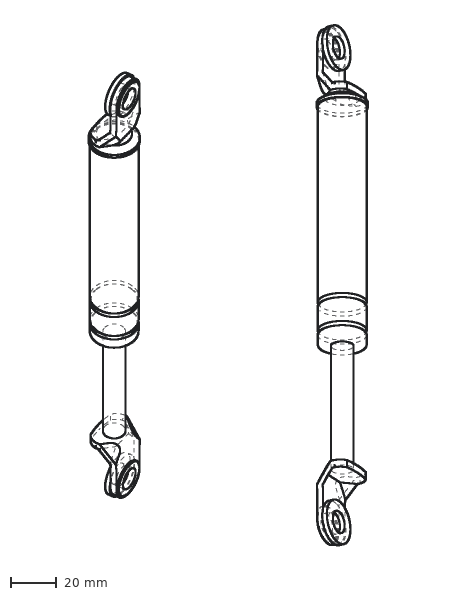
import cadquery as cq
import math

EYE_SPACING = 225.0
EYE_Z = EYE_SPACING / 2

PLATE = 3.0
WALL_X = 4.2
WALL_OUT_X = WALL_X + PLATE
FOOT_OUT_Z = 88.0
FOOT_T = 3.4
FOOT_IN_Z = FOOT_OUT_Z + FOOT_T
FOOT_END_X = -8.0
FOOT_END_BOW = 0.8
FOOT_HALF = 10.95
FOOT_CORNER_R = 7.0
FOOT_SIDE_X = -1.5
HEAD_R = 9.25
FLARE_TOP_Z = 100.0
FLARE_LOW_Z = 93.0
BEND_R = 5.0
GUSSET_Y = 5.1
GUSSET_RISE = 0.7
GUSSET_T = 2.2
SIDE_TAPER = 0.075

BORE_D = 10.0
WASHER_D = 20.0
WASHER_T = 2.4
BOSS_D = 17.0
BOSS_T = 0.7
BOSS_CHAMFER = 0.3

TUBE_R = 10.75
TUBE_LOW_Z = -29.4
TUBE_EDGE_R = 0.7
RIM_R = 11.25
RIM_LOW_Z = 84.0
RIM_TOP_Z = 85.7
CROWN_TOP_R = 7.8
GROOVE_ZS = (-9.8, -23.1)
GROOVE_HALF = 1.0
GROOVE_DEPTH = 0.7
ROD_D = 10.0

FAR = 60.0


def half_space(point, normal):
    """Block filling everything beyond the plane through a point, on the side its normal points to."""
    across = cq.Vector(*normal).cross(cq.Vector(0, 0, 1))
    plane = cq.Plane(origin=point, xDir=across.toTuple(), normal=normal)
    return cq.Workplane(plane).rect(4 * FAR, 4 * FAR).extrude(FAR)


def fold_space(wall_x, foot_z, gusset_offset):
    """Space above a foot plane and inside a wall plane, with both fold corners cut by gusset planes."""
    space = cq.Workplane("XY").box(FAR, FAR, FAR, centered=(False, True, False))
    space = space.translate((wall_x - FAR, 0, foot_z))
    for side in (1, -1):
        normal = cq.Vector(1, side, -GUSSET_RISE).normalized()
        start = cq.Vector(WALL_X, side * GUSSET_Y, FOOT_IN_Z) + normal * gusset_offset
        space = space.cut(half_space(start.toTuple(), normal.toTuple()))
    return space


def make_bracket():
    """Upper bracket: foot on the strut, upright carrying the eye."""
    outer = fold_space(WALL_OUT_X, FOOT_OUT_Z, GUSSET_T)
    outer = outer.edges(cq.selectors.NearestToPointSelector((WALL_OUT_X, 0, FOOT_OUT_Z))).fillet(BEND_R)
    plate = outer.cut(fold_space(WALL_X, FOOT_IN_Z, 0))

    corner_x = FOOT_END_X + FOOT_END_BOW
    corner_y = FOOT_HALF - FOOT_CORNER_R + math.sqrt(FOOT_CORNER_R**2 - (FOOT_SIDE_X - corner_x) ** 2)
    plan = (
        cq.Workplane("XY", origin=(0, 0, FOOT_OUT_Z))
        .moveTo(WALL_OUT_X, -FOOT_HALF)
        .lineTo(WALL_OUT_X, FOOT_HALF)
        .lineTo(FOOT_SIDE_X, FOOT_HALF)
        .tangentArcPoint((corner_x, corner_y), relative=False)
        .threePointArc((FOOT_END_X, 0), (corner_x, -corner_y))
        .radiusArc((FOOT_SIDE_X, -FOOT_HALF), -FOOT_CORNER_R)
        .close()
        .extrude(FAR)
    )
    elevation = (
        cq.Workplane("YZ", origin=(-FAR / 2, 0, 0))
        .moveTo(-FOOT_HALF, FOOT_OUT_Z)
        .lineTo(FOOT_HALF, FOOT_OUT_Z)
        .lineTo(FOOT_HALF, FLARE_LOW_Z)
        .lineTo(HEAD_R, FLARE_TOP_Z)
        .lineTo(HEAD_R, EYE_Z)
        .threePointArc((0, EYE_Z + HEAD_R), (-HEAD_R, EYE_Z))
        .lineTo(-HEAD_R, FLARE_TOP_Z)
        .lineTo(-FOOT_HALF, FLARE_LOW_Z)
        .close()
        .extrude(FAR)
    )
    bracket = plate.intersect(plan).intersect(elevation)
    below_head = cq.Workplane("XY", origin=(0, 0, FLARE_TOP_Z)).rect(FAR, FAR).extrude(-FAR)
    for side in (1, -1):
        outside = half_space((FOOT_SIDE_X, side * FOOT_HALF, FOOT_OUT_Z), (SIDE_TAPER, side, SIDE_TAPER))
        bracket = bracket.cut(outside.intersect(below_head))
    boss = (
        cq.Workplane("YZ", origin=(WALL_X, 0, EYE_Z))
        .circle(BOSS_D / 2)
        .extrude(PLATE + BOSS_T)
        .faces(">X").edges().chamfer(BOSS_CHAMFER)
    )
    eye = cq.Workplane("YZ", origin=(0, 0, EYE_Z)).circle(BORE_D / 2).extrude(FAR)
    return bracket.union(boss).cut(eye)


def make_washer():
    """Upper washer, lying against the upright around the eye."""
    base = cq.Workplane("YZ", origin=(WALL_X - WASHER_T, 0, EYE_Z))
    return base.circle(WASHER_D / 2).circle(BORE_D / 2).extrude(WASHER_T)


def make_tube():
    """Cylinder with a crimped crown on top and two rolled grooves near the rod end."""
    profile = (
        cq.Workplane("XZ")
        .moveTo(0, TUBE_LOW_Z)
        .lineTo(TUBE_R, TUBE_LOW_Z)
        .lineTo(TUBE_R, RIM_LOW_Z)
        .lineTo(RIM_R, RIM_LOW_Z)
        .lineTo(RIM_R, RIM_TOP_Z)
        .lineTo(CROWN_TOP_R, FOOT_OUT_Z)
        .lineTo(0, FOOT_OUT_Z)
        .close()
    )
    tube = profile.revolve(360, (0, 0, 0), (0, 1, 0)).faces("<Z").edges().fillet(TUBE_EDGE_R)
    for groove_z in GROOVE_ZS:
        groove = (
            cq.Workplane("XZ")
            .moveTo(TUBE_R, groove_z - GROOVE_HALF)
            .threePointArc((TUBE_R - GROOVE_DEPTH, groove_z), (TUBE_R, groove_z + GROOVE_HALF))
            .close()
            .revolve(360, (0, 0, 0), (0, 1, 0))
        )
        tube = tube.cut(groove)
    return tube


def make_rod():
    """Piston rod between the cylinder and the lower bracket."""
    length = TUBE_LOW_Z + FOOT_OUT_Z
    return cq.Workplane("XY", origin=(0, 0, -FOOT_OUT_Z)).circle(ROD_D / 2).extrude(length)


tube = make_tube()
rod = make_rod()

end_fittings = []
for make_fitting in (make_bracket, make_washer):
    upper = make_fitting()
    end_fittings.append(upper.val())
    end_fittings.append(upper.mirror("XY").val())

result = cq.Compound.makeCompound([tube.val(), rod.val(), *end_fittings])